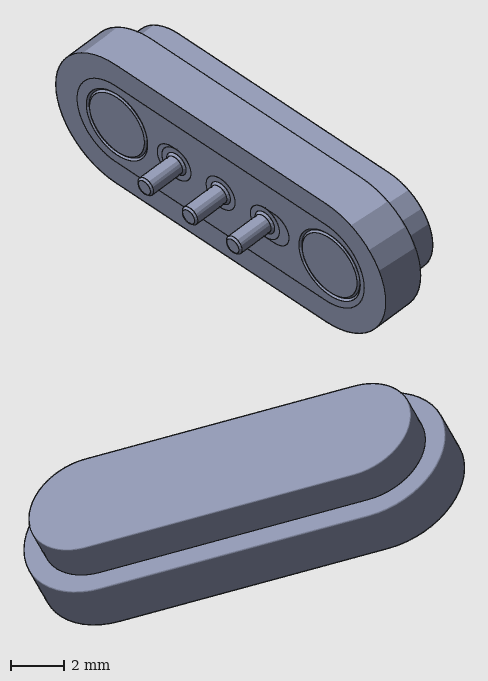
import cadquery as cq

FLANGE_LENGTH = 17.09
FLANGE_HEIGHT = 6.2
FLANGE_DEPTH = 1.98
FLANGE_FILLET = 0.1

NOSE_INSET = 0.8
NOSE_DEPTH = 1.5
NOSE_FILLET = 0.09

INSERT_INSET = 1.11
INSERT_DEPTH = 1.0

RING_SPACING = 11.0
RING_RADIUS = 1.5
RING_HALF_WIDTH = 0.09
RING_DEPTH = 0.07
RING_OFFSET = 0.14

PIN_PITCH = 2.29
PIN_RADIUS = 0.402
PIN_LENGTH = 1.76
PIN_TIP_CHAMFER = 0.09
PIN_ROOT_FLARE = 0.1
PIN_ROOT_LENGTH = 0.09
PIN_HEAD_RADIUS = 0.75
PINS = [(-1, -0.24), (0, 0.0), (1, 0.5)]


def stadium(length, height, y_start, depth):
    """Round-ended bar along X, extruded toward +Y from y_start."""
    return (
        cq.Workplane("XZ", origin=(0, y_start, 0))
        .slot2D(length, height)
        .extrude(-depth)
    )


def inset_stadium(inset, y_start, depth):
    """Round-ended bar whose outline lies inside the flange outline by the inset."""
    return stadium(FLANGE_LENGTH - 2 * inset, FLANGE_HEIGHT - 2 * inset, y_start, depth)


def disc(x, radius, depth):
    """Round disc centred at x, from the connector face toward +Y."""
    return cq.Workplane("XZ", origin=(x, 0, 0)).circle(radius).extrude(-depth)


def boss(x, stretch):
    """Slot-shaped boss that holds the pin head at x and stretches sideways from it."""
    outline = disc(x, PIN_HEAD_RADIUS, INSERT_DEPTH)
    if stretch:
        middle = (
            cq.Workplane("XZ", origin=(x + stretch / 2, 0, 0))
            .rect(abs(stretch), 2 * PIN_HEAD_RADIUS)
            .extrude(-INSERT_DEPTH)
        )
        outline = outline.union(middle).union(disc(x + stretch, PIN_HEAD_RADIUS, INSERT_DEPTH))
    return outline


def make_housing():
    """Flange and nose, with a pocket for the insert and bosses around the pin heads."""
    flange = stadium(FLANGE_LENGTH, FLANGE_HEIGHT, 0, FLANGE_DEPTH).faces(">Y").edges().fillet(FLANGE_FILLET)
    nose = inset_stadium(NOSE_INSET, FLANGE_DEPTH, NOSE_DEPTH).faces(">Y").edges().fillet(NOSE_FILLET)
    housing = flange.union(nose).cut(inset_stadium(INSERT_INSET, 0, INSERT_DEPTH))
    for step, stretch in PINS:
        if stretch:
            x = step * PIN_PITCH
            wall = boss(x, stretch).cut(disc(x, PIN_HEAD_RADIUS, INSERT_DEPTH))
            housing = housing.union(wall)
    return housing


def ring_groove(x):
    """V-shaped ring cut into the connector face around x."""
    return (
        cq.Workplane("XY", origin=(x, 0, 0))
        .moveTo(RING_RADIUS - RING_HALF_WIDTH, 0)
        .lineTo(RING_RADIUS + RING_HALF_WIDTH, 0)
        .lineTo(RING_RADIUS, RING_DEPTH)
        .close()
        .revolve(360, (0, 0), (0, 1))
    )


def make_insert():
    """Plate that fills the housing pocket, with openings for the bosses and two ring grooves."""
    insert = inset_stadium(INSERT_INSET, 0, INSERT_DEPTH)
    for step, stretch in PINS:
        insert = insert.cut(boss(step * PIN_PITCH, stretch))
    for side in (-1, 1):
        insert = insert.cut(ring_groove(RING_OFFSET + side * RING_SPACING / 2))
    return insert


def make_pin(x):
    """Pin with a head flush in the connector face, a flared root and a chamfered tip."""
    root_radius = PIN_RADIUS + PIN_ROOT_FLARE
    return (
        cq.Workplane("XY", origin=(x, 0, 0))
        .moveTo(0, INSERT_DEPTH)
        .lineTo(PIN_HEAD_RADIUS, INSERT_DEPTH)
        .lineTo(PIN_HEAD_RADIUS, 0)
        .lineTo(root_radius, 0)
        .lineTo(PIN_RADIUS, -PIN_ROOT_LENGTH)
        .lineTo(PIN_RADIUS, PIN_TIP_CHAMFER - PIN_LENGTH)
        .lineTo(PIN_RADIUS - PIN_TIP_CHAMFER, -PIN_LENGTH)
        .lineTo(0, -PIN_LENGTH)
        .close()
        .revolve(360, (0, 0), (0, 1))
    )


housing = make_housing()
insert = make_insert()
pins = [make_pin(step * PIN_PITCH) for step, _ in PINS]

result = cq.Compound.makeCompound([housing.val(), insert.val(), *[pin.val() for pin in pins]])